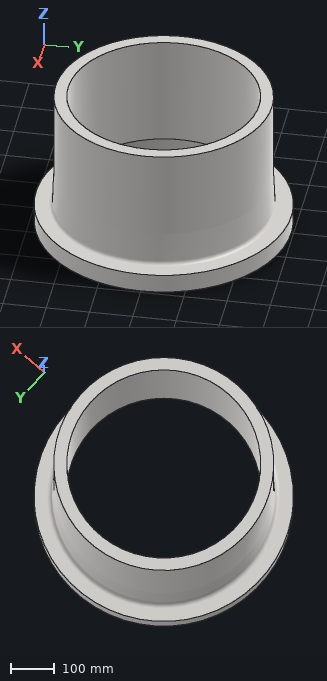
import math

import cadquery as cq

total_height = 339.0
pipe_radius = 250.0
bore_radius = 220.3

flange_radius = 295.0
flange_thickness = 46.0

neck_top_height = 128.0
neck_base_radius = 253.2
fillet_top_height = 57.0
fillet_outer_radius = 264.5

mouth_height = 76.0
mouth_half_angle = 20.0
mouth_radius = bore_radius + mouth_height * math.tan(math.radians(mouth_half_angle))


def wall_section():
    """Half section of the wall: the first coordinate is the radius, the second the height."""
    corner_share = 1 - math.cos(math.radians(45))
    fillet_middle = (
        neck_base_radius + corner_share * (fillet_outer_radius - neck_base_radius),
        flange_thickness + corner_share * (fillet_top_height - flange_thickness),
    )
    return (
        cq.Workplane("XZ")
        .moveTo(mouth_radius, 0)
        .lineTo(flange_radius, 0)
        .lineTo(flange_radius, flange_thickness)
        .lineTo(fillet_outer_radius, flange_thickness)
        .threePointArc(fillet_middle, (neck_base_radius, fillet_top_height))
        .lineTo(pipe_radius, neck_top_height)
        .lineTo(pipe_radius, total_height)
        .lineTo(bore_radius, total_height)
        .lineTo(bore_radius, mouth_height)
        .close()
    )


result = wall_section().revolve(360, (0, 0, 0), (0, 1, 0))